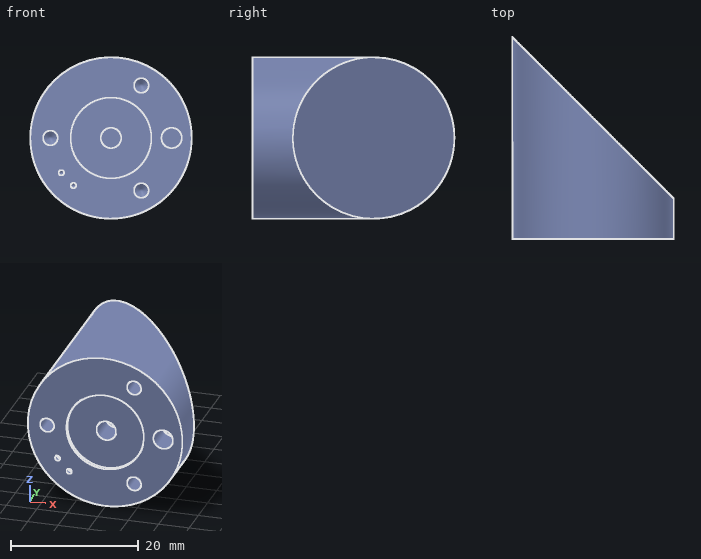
import cadquery as cq
import math

diameter = 25.4
radius = diameter / 2
long_side = 31.75
cut_angle = 45.0
short_side = long_side - diameter * math.tan(math.radians(cut_angle))

recess_diameter = diameter / 2
recess_depth = 0.635

bolt_circle_radius = 9.525
locating_hole_diameter = 3.2
locating_hole_depth = 5.0
locating_hole_angle = 0.0

screw_hole_count = 3
screw_hole_diameter = 2.3
screw_hole_depth = 5.0
first_screw_hole_angle = 60.0

small_hole_diameter = 0.85
small_hole_depth = 1.0
small_hole_angles = (215.0, 231.7)

drill_point_angle = 118.0


def bolt_circle_point(angle):
    """X, Z position on the bolt circle, with the angle measured from +X towards +Z."""
    turn = math.radians(angle)
    return bolt_circle_radius * math.cos(turn), bolt_circle_radius * math.sin(turn)


def make_blank():
    """Cylinder around Y, trimmed so that it is longest at -X and shortest at +X."""
    side_profile = (
        cq.Workplane("XY")
        .moveTo(-radius, 0)
        .lineTo(radius, 0)
        .lineTo(radius, short_side)
        .lineTo(-radius, long_side)
        .close()
        .extrude(radius, both=True)
    )
    cylinder = cq.Workplane("XZ").circle(radius).extrude(-long_side)
    return cylinder.intersect(side_profile)


def flat_hole(position, hole_diameter, depth):
    """Flat-bottomed cutter entering from the mounting face at an X, Z position."""
    x, z = position
    return cq.Workplane("XZ").center(x, z).circle(hole_diameter / 2).extrude(-depth)


def drilled_hole(position, hole_diameter, depth):
    """Cutter with a conical drill point beyond its full-diameter depth."""
    x, z = position
    hole_radius = hole_diameter / 2
    point_length = hole_radius / math.tan(math.radians(drill_point_angle / 2))
    half_section = (
        cq.Workplane("XY")
        .lineTo(hole_radius, 0)
        .lineTo(hole_radius, depth)
        .lineTo(0, depth + point_length)
        .close()
    )
    return half_section.revolve(360, (0, 0), (0, 1)).translate((x, 0, z))


def cut_recess_and_locating_holes(body):
    axis = (0, 0)
    body = body.cut(flat_hole(axis, recess_diameter, recess_depth))
    body = body.cut(flat_hole(axis, locating_hole_diameter, recess_depth + locating_hole_depth))
    offset_position = bolt_circle_point(locating_hole_angle)
    return body.cut(flat_hole(offset_position, locating_hole_diameter, locating_hole_depth))


def cut_drilled_holes(body):
    for index in range(screw_hole_count):
        angle = first_screw_hole_angle + index * 360 / screw_hole_count
        body = body.cut(drilled_hole(bolt_circle_point(angle), screw_hole_diameter, screw_hole_depth))
    for angle in small_hole_angles:
        body = body.cut(drilled_hole(bolt_circle_point(angle), small_hole_diameter, small_hole_depth))
    return body


blank = make_blank()
recessed_blank = cut_recess_and_locating_holes(blank)
result = cut_drilled_holes(recessed_blank)